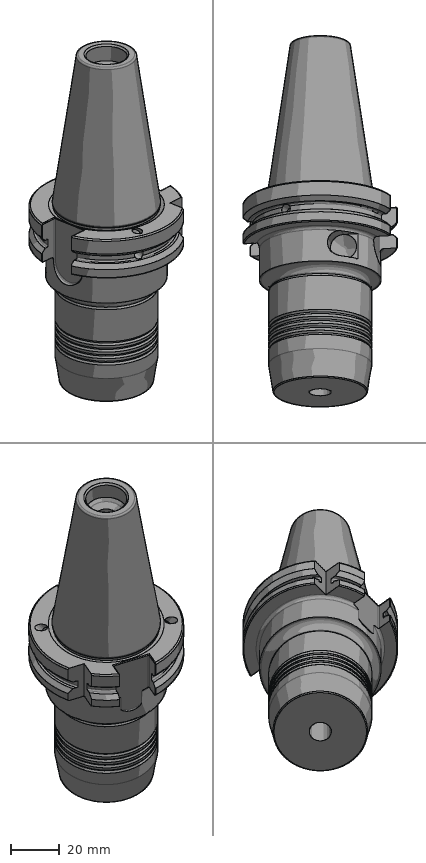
import cadquery as cq
import math

TOTAL_HEIGHT = 150.2

NOSE_TIP_RADIUS = 19.4
NOSE_TOP = 11.7
SLEEVE_RADIUS = 21.2
SLEEVE_TOP = 44.3
SLEEVE_BEVEL_HEIGHT = 0.9
SLEEVE_NECK_RADIUS = 20.7

GRIP_COUNT = 4
GRIP_PITCH = 3.0
GRIP_FIRST_Z = 18.8
GRIP_HALF_WIDTH = 0.9
GRIP_DEPTH = 0.6

COLLAR_RADIUS = 25.0
COLLAR_BOTTOM = 48.4
COLLAR_UNDER_FILLET = 3.6
COLLAR_TOP_FILLET = 1.4

FLANGE_RADIUS = 63.5 / 2
FLANGE_BOTTOM = 63.3
FLANGE_TOP = 81.0
TOP_RIM_BEVEL = 0.6
EDGE_BEVEL = 0.5
GROOVE_MID = 70.9
GROOVE_MOUTH_HALF = 3.6
GROOVE_FLOOR_HALF = 1.8
GROOVE_SHOULDER_RADIUS = 29.9
GROOVE_FLOOR_RADIUS = 28.1
GROOVE_FILLET = 0.68

RELIEF_OUTER_RADIUS = 23.7
RELIEF_INNER_RADIUS = 22.0
RELIEF_DEPTH = 0.6

TAPER_BASE_RADIUS = 22.2
TAPER_BASE = 81.9
TAPER_LAND_HEIGHT = 0.5
TAPER_RATIO = 7 / 24 / 2
TAPER_TIP_ROUND = 0.8

BORE_RADIUS = 8.4
BORE_BEVEL = 0.8
BORE_DEPTH = 7.4
SEAT_RADIUS = 7.2
SEAT_BEVEL_HEIGHT = 1.4
THROUGH_RADIUS = 4.5
DRILL_HALF_ANGLE = math.radians(59)

SLOT_HALF_WIDTH = 8.0
SLOT_ARC_CENTRE_Z = 61.6
SLOT_FRONT_FLOOR = 22.8
SLOT_BACK_FLOOR = 24.5
SLOT_EDGE_BEVEL = 0.38
SLOT_FLOOR_FILLET = 0.38

NOTCH_OFFSET = 18.5

POCKET_FLOOR_X = 16.7
POCKET_Y = -12.6
POCKET_Z = 56.5
POCKET_RADIUS = 5.4

COOLANT_RADIUS = 4.0 / 2
COOLANT_AZIMUTH = 160
COOLANT_ENTRY_RADIUS = 26.7
COOLANT_TILT = math.radians(38)
COOLANT_ENTRY_LENGTH = 2.7
COOLANT_GROOVE_LENGTH = 4.5

CLEARANCE = 7.5


def drill_tip(radius):
    """Height of the conical end left by a drill of the given radius."""
    return radius / math.tan(DRILL_HALF_ANGLE)


def drill(start, direction, radius, length):
    """Drilled hole: a cylinder that ends in a conical tip."""
    axis = cq.Vector(*direction).normalized()
    start = cq.Vector(*start)
    cone_base = start + axis * length
    barrel = cq.Solid.makeCylinder(radius, length, start, axis)
    tip = cq.Solid.makeCone(radius, 0, drill_tip(radius), cone_base, axis)
    return cq.Workplane(obj=barrel).union(cq.Workplane(obj=tip))


def revolve(profile):
    """Turn a closed (radius, z) profile around the Z axis."""
    return profile.close().revolve(360, (0, 0, 0), (0, 1, 0))


def turned_body():
    arc_part = math.sqrt(0.5)
    under = COLLAR_UNDER_FILLET
    neck_end = COLLAR_BOTTOM - under
    under_outer = SLEEVE_NECK_RADIUS + under
    top = COLLAR_TOP_FILLET
    fillet = GROOVE_FILLET
    floor_low = GROOVE_MID - GROOVE_FLOOR_HALF
    floor_high = GROOVE_MID + GROOVE_FLOOR_HALF
    fillet_r = GROOVE_FLOOR_RADIUS + fillet
    fillet_mid_r = GROOVE_FLOOR_RADIUS + fillet * (1 - arc_part)
    fillet_mid_drop = fillet * (1 - arc_part)
    land_top = TAPER_BASE + TAPER_LAND_HEIGHT
    tip_radius = TAPER_BASE_RADIUS - TAPER_RATIO * (TOTAL_HEIGHT - land_top)
    tip_side_z = TOTAL_HEIGHT - TAPER_TIP_ROUND
    tip_side_radius = tip_radius + TAPER_RATIO * TAPER_TIP_ROUND
    profile = (
        cq.Workplane("XZ")
        .moveTo(0, 0)
        .lineTo(NOSE_TIP_RADIUS - EDGE_BEVEL, 0)
        .lineTo(NOSE_TIP_RADIUS, EDGE_BEVEL)
        .lineTo(SLEEVE_RADIUS, NOSE_TOP)
        .lineTo(SLEEVE_RADIUS, SLEEVE_TOP - SLEEVE_BEVEL_HEIGHT)
        .lineTo(SLEEVE_NECK_RADIUS, SLEEVE_TOP)
        .lineTo(SLEEVE_NECK_RADIUS, neck_end)
        .threePointArc(
            (under_outer - under * arc_part, neck_end + under * arc_part),
            (under_outer, COLLAR_BOTTOM),
        )
        .lineTo(COLLAR_RADIUS, COLLAR_BOTTOM)
        .lineTo(COLLAR_RADIUS, FLANGE_BOTTOM - top)
        .threePointArc(
            (COLLAR_RADIUS + top * (1 - arc_part), FLANGE_BOTTOM - top * (1 - arc_part)),
            (COLLAR_RADIUS + top, FLANGE_BOTTOM),
        )
        .lineTo(FLANGE_RADIUS - EDGE_BEVEL, FLANGE_BOTTOM)
        .lineTo(FLANGE_RADIUS, FLANGE_BOTTOM + EDGE_BEVEL)
        .lineTo(FLANGE_RADIUS, GROOVE_MID - GROOVE_MOUTH_HALF)
        .lineTo(GROOVE_SHOULDER_RADIUS, floor_low)
        .lineTo(fillet_r, floor_low)
        .threePointArc(
            (fillet_mid_r, floor_low + fillet_mid_drop),
            (GROOVE_FLOOR_RADIUS, floor_low + fillet),
        )
        .lineTo(GROOVE_FLOOR_RADIUS, floor_high - fillet)
        .threePointArc((fillet_mid_r, floor_high - fillet_mid_drop), (fillet_r, floor_high))
        .lineTo(GROOVE_SHOULDER_RADIUS, floor_high)
        .lineTo(FLANGE_RADIUS, GROOVE_MID + GROOVE_MOUTH_HALF)
        .lineTo(FLANGE_RADIUS, FLANGE_TOP - TOP_RIM_BEVEL)
        .lineTo(FLANGE_RADIUS - TOP_RIM_BEVEL, FLANGE_TOP)
        .lineTo(RELIEF_OUTER_RADIUS, FLANGE_TOP)
        .lineTo(RELIEF_INNER_RADIUS, FLANGE_TOP - RELIEF_DEPTH)
        .lineTo(RELIEF_INNER_RADIUS, TAPER_BASE - EDGE_BEVEL)
        .lineTo(TAPER_BASE_RADIUS, TAPER_BASE)
        .lineTo(TAPER_BASE_RADIUS, land_top)
        .lineTo(tip_side_radius, tip_side_z)
        .tangentArcPoint((tip_radius - TAPER_TIP_ROUND, TOTAL_HEIGHT), relative=False)
        .lineTo(0, TOTAL_HEIGHT)
    )
    return revolve(profile)


def axial_bore():
    bore_bottom = TOTAL_HEIGHT - BORE_DEPTH
    seat_top = bore_bottom - SEAT_BEVEL_HEIGHT
    through_top = seat_top - drill_tip(SEAT_RADIUS) + drill_tip(THROUGH_RADIUS)
    profile = cq.Workplane("XZ").polyline([
        (0, 0),
        (THROUGH_RADIUS, 0),
        (THROUGH_RADIUS, through_top),
        (SEAT_RADIUS, seat_top),
        (BORE_RADIUS, bore_bottom),
        (BORE_RADIUS, TOTAL_HEIGHT - BORE_BEVEL),
        (BORE_RADIUS + BORE_BEVEL, TOTAL_HEIGHT),
        (0, TOTAL_HEIGHT),
    ])
    return revolve(profile)


def grip_groove(z):
    profile = cq.Workplane("XZ").polyline([
        (SLEEVE_RADIUS, z - GRIP_HALF_WIDTH),
        (SLEEVE_RADIUS - GRIP_DEPTH, z),
        (SLEEVE_RADIUS, z + GRIP_HALF_WIDTH),
    ])
    return revolve(profile)


def drive_slot(floor, side):
    """Round-bottomed slot open at the flange top; side is -1 for -Y, +1 for +Y."""
    height = TAPER_BASE + CLEARANCE - SLOT_ARC_CENTRE_Z
    depth = FLANGE_RADIUS + CLEARANCE - floor
    outline = (
        cq.Workplane("XZ", origin=(0, side * floor, SLOT_ARC_CENTRE_Z))
        .moveTo(-SLOT_HALF_WIDTH, height)
        .lineTo(-SLOT_HALF_WIDTH, 0)
        .threePointArc((0, -SLOT_HALF_WIDTH), (SLOT_HALF_WIDTH, 0))
        .lineTo(SLOT_HALF_WIDTH, height)
        .close()
    )
    slot = outline.extrude(-side * depth)
    floor_face = "<Y" if side > 0 else ">Y"
    return slot.faces(floor_face).edges("not >Z").fillet(SLOT_FLOOR_FILLET)


def slot_bevel(floor, side):
    """Cutter that bevels the slot along the flange top and along the flange rims."""
    half_width = SLOT_HALF_WIDTH + SLOT_EDGE_BEVEL
    inner_y = floor - SLOT_EDGE_BEVEL
    outer_y = FLANGE_RADIUS + CLEARANCE
    rim_y = math.sqrt(FLANGE_RADIUS**2 - SLOT_HALF_WIDTH**2) - SLOT_EDGE_BEVEL

    top = (
        cq.Workplane("XY", origin=(-half_width, inner_y, FLANGE_TOP - SLOT_EDGE_BEVEL))
        .rect(2 * half_width, outer_y - inner_y, centered=False)
        .extrude(2 * SLOT_EDGE_BEVEL)
        .faces("<Z").edges("<Y or <X or >X").chamfer(SLOT_EDGE_BEVEL)
    )
    rims = (
        cq.Workplane("XY", origin=(-half_width, rim_y, FLANGE_BOTTOM))
        .rect(2 * half_width, outer_y - rim_y, centered=False)
        .extrude(FLANGE_TOP - FLANGE_BOTTOM)
        .faces("<Y").edges("|Z").chamfer(SLOT_EDGE_BEVEL)
    )
    cutter = top.union(rims)
    return cutter if side > 0 else cutter.rotate((0, 0, 0), (0, 0, 1), 180)


def index_notch():
    height = FLANGE_TOP - FLANGE_BOTTOM + CLEARANCE
    return (
        cq.Workplane("XY", origin=(NOTCH_OFFSET, NOTCH_OFFSET, FLANGE_BOTTOM))
        .rect(FLANGE_RADIUS, FLANGE_RADIUS, centered=False)
        .extrude(height)
    )


def screw_pocket():
    """Half-round pocket running out toward -Y, with a drill point in its floor."""
    seat = cq.Workplane("YZ", origin=(-POCKET_FLOOR_X, POCKET_Y, POCKET_Z))
    round_end = seat.circle(POCKET_RADIUS).extrude(-COLLAR_RADIUS)
    run_out = (
        seat.center(-POCKET_RADIUS - CLEARANCE, -POCKET_RADIUS)
        .rect(POCKET_RADIUS + CLEARANCE, 2 * POCKET_RADIUS, centered=False)
        .extrude(-COLLAR_RADIUS)
    )
    point = cq.Solid.makeCone(
        POCKET_RADIUS, 0, drill_tip(POCKET_RADIUS),
        cq.Vector(-POCKET_FLOOR_X, POCKET_Y, POCKET_Z), cq.Vector(1, 0, 0),
    )
    return round_end.union(run_out).union(cq.Workplane(obj=point))


def coolant_pair():
    """Inclined hole in the flange top and radial hole in the groove, on the +X axis."""
    slope = (-math.sin(COOLANT_TILT), 0, -math.cos(COOLANT_TILT))
    lead = 2 * COOLANT_RADIUS
    entry_start = (
        COOLANT_ENTRY_RADIUS - slope[0] * lead,
        0,
        FLANGE_TOP - slope[2] * lead,
    )
    entry = drill(entry_start, slope, COOLANT_RADIUS, lead + COOLANT_ENTRY_LENGTH)
    groove_start = (GROOVE_FLOOR_RADIUS + GROOVE_FILLET, 0, GROOVE_MID)
    groove_length = GROOVE_FILLET + COOLANT_GROOVE_LENGTH
    in_groove = drill(groove_start, (-1, 0, 0), COOLANT_RADIUS, groove_length)
    return entry.union(in_groove)


body = turned_body().cut(axial_bore())
for index in range(GRIP_COUNT):
    body = body.cut(grip_groove(GRIP_FIRST_Z + index * GRIP_PITCH))

for floor, side in ((SLOT_FRONT_FLOOR, -1), (SLOT_BACK_FLOOR, 1)):
    body = body.cut(drive_slot(floor, side))
    body = body.cut(slot_bevel(floor, side))

body = body.cut(index_notch())
body = body.cut(screw_pocket())

for azimuth in (COOLANT_AZIMUTH, COOLANT_AZIMUTH + 180):
    body = body.cut(coolant_pair().rotate((0, 0, 0), (0, 0, 1), azimuth))

result = body